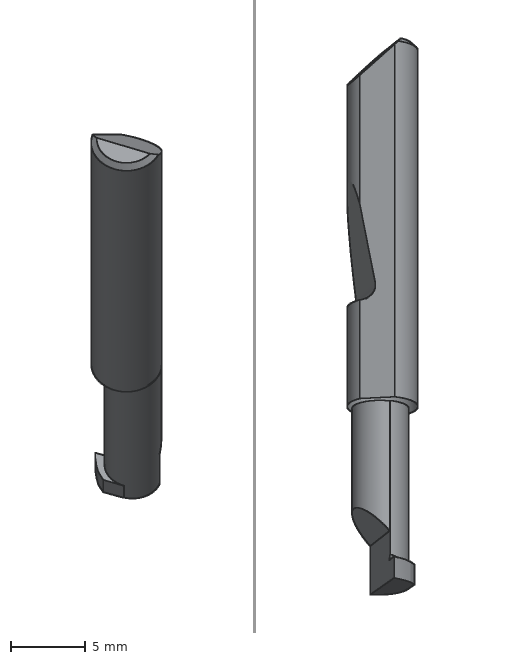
import cadquery as cq
import math

total_length = 38.1
shank_radius = 2.38
shank_bottom = 12.7
top_chamfer = 0.4
bevel_start_y = -0.6
flat_angle = 60.0

notch_bottom = 19.62
notch_top = 28.27
notch_slope = 9.3
notch_fillet = 1.0

neck_radius = 1.925
back_neck_radius = 1.885
rake_top = 5.5

tooth_height = 1.52
tooth_tip_x = -2.25
tooth_flank_middle = (-1.9, -0.75)
tooth_heel = (-1.5, -1.45)
tooth_corner_x = -0.95
tooth_end_x = 0.55
tooth_back_y = -1.95
relief_height = 0.35
relief_depth = 0.2
end_relief_x = 2.0
end_relief_y = 2.0

margin = 1.9
cut_width = 4 * shank_radius


def yz_prism(points):
    """Prism across the whole part in X, with a (y, z) outline."""
    return cq.Workplane("YZ").polyline(points).close().extrude(cut_width / 2, both=True)


def make_shank():
    shank = (
        cq.Workplane("XY")
        .workplane(offset=shank_bottom)
        .circle(shank_radius)
        .extrude(total_length - shank_bottom)
        .faces(">Z")
        .chamfer(top_chamfer)
    )
    bevel_run = shank_radius + margin - bevel_start_y
    bevel = yz_prism([
        (bevel_start_y, total_length),
        (bevel_start_y + bevel_run, total_length),
        (bevel_start_y + bevel_run, total_length - bevel_run),
    ])
    return shank.cut(bevel).cut(make_side_flat()).cut(make_clamp_notch())


def make_side_flat():
    """Block whose inner face starts at the shank's -X extreme."""
    block = cq.Workplane("XY").box(
        cut_width, cut_width, total_length - shank_bottom, centered=(True, False, False)
    )
    return block.rotate((0, 0, 0), (0, 0, 1), flat_angle).translate((-shank_radius, 0, shank_bottom))


def make_clamp_notch():
    slope = math.tan(math.radians(notch_slope))
    floor_y = shank_radius - (notch_top - notch_bottom) * slope
    outer_y = shank_radius + margin
    notch = yz_prism([
        (floor_y, notch_bottom),
        (outer_y, notch_bottom),
        (outer_y, notch_top + margin / slope),
    ])
    return notch.edges("|X and <Y").fillet(notch_fillet)


def half_neck(radius, side):
    """Half cylinder touching the shank's +X side; side is +1 for +Y, -1 for -Y."""
    center_x = shank_radius - radius
    return (
        cq.Workplane("XY")
        .moveTo(shank_radius, 0)
        .threePointArc((center_x, side * radius), (center_x - radius, 0))
        .close()
        .extrude(shank_bottom)
    )


def make_neck():
    neck = half_neck(neck_radius, -1).union(half_neck(back_neck_radius, 1))
    rake_face = yz_prism([
        (0, -margin),
        (0, rake_top - neck_radius),
        (neck_radius + margin, rake_top + margin),
        (neck_radius + margin, -margin),
    ])
    neck_left = shank_radius - 2 * neck_radius
    relief = (
        cq.Workplane("XZ")
        .polyline([
            (neck_left, tooth_height + relief_height),
            (neck_left, tooth_height),
            (neck_left + relief_depth, tooth_height),
        ])
        .close()
        .extrude(neck_radius)
    )
    return neck.cut(rake_face).cut(relief)


def make_tooth():
    return (
        cq.Workplane("XY")
        .moveTo(tooth_tip_x, 0)
        .threePointArc(tooth_flank_middle, tooth_heel)
        .lineTo(tooth_corner_x, tooth_back_y)
        .lineTo(tooth_end_x, tooth_back_y)
        .lineTo(tooth_end_x, 0)
        .close()
        .extrude(tooth_height)
    )


def make_end_relief():
    """Block below the end face, tilted about the tooth tip."""
    block = cq.Workplane("XY").box(2 * cut_width, 2 * cut_width, margin, centered=(True, True, False))
    return (
        block.translate((0, 0, -margin))
        .rotate((0, 0, 0), (1, 0, 0), -end_relief_y)
        .rotate((0, 0, 0), (0, 1, 0), -end_relief_x)
        .translate((tooth_tip_x, 0, 0))
    )


cutting_end = make_neck().union(make_tooth()).cut(make_end_relief())
result = make_shank().union(cutting_end)